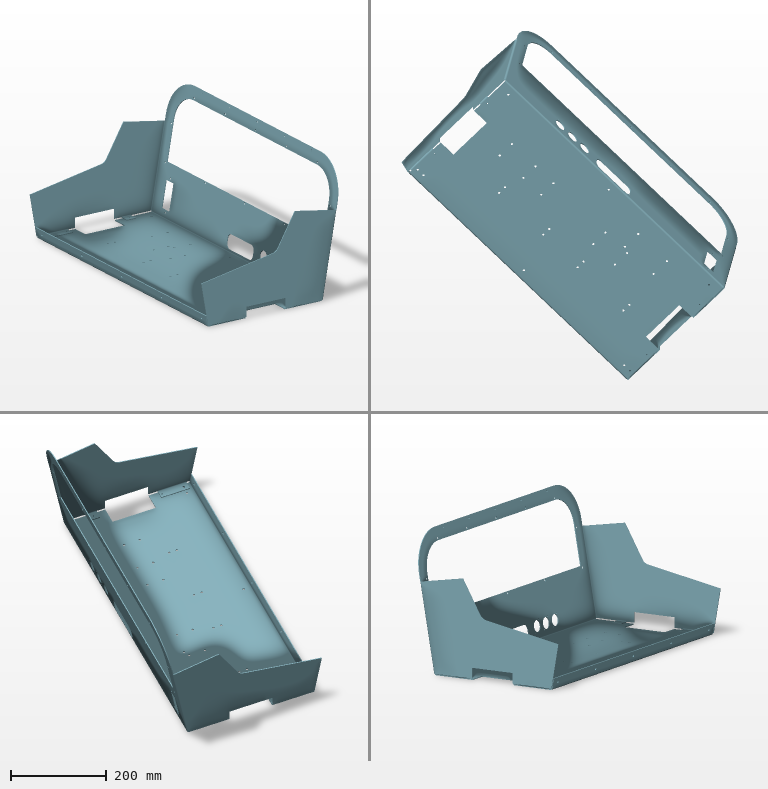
import cadquery as cq
import math

WIDTH = 650.0
DEPTH = 356.0
HEIGHT = 296.0

SHEET = 2.0
BEND_INSIDE = 2.0
BEND_OUTSIDE = BEND_INSIDE + SHEET
LEAN = math.radians(10)
SIN = math.sin(LEAN)
COS = math.cos(LEAN)
HALF_INSIDE = WIDTH / 2 - SHEET
HALF_FLOOR = WIDTH / 2 - BEND_OUTSIDE

SIDE_REAR_LENGTH = 199.0
SIDE_TOP_LENGTH = 106.5
SIDE_TIP_HEIGHT = 100.0
SIDE_BOTTOM = BEND_OUTSIDE
SIDE_SLOPE = math.radians(60)
SIDE_CORNER_RADIUS = 20.0

BACK_LENGTH = (HEIGHT - SHEET * SIN) / COS
REAR_FOOT = DEPTH / 2 - BACK_LENGTH * SIN
FRONT_FOOT = -DEPTH / 2 + SIDE_TIP_HEIGHT * math.tan(LEAN)
LIP_LENGTH = 25.5

FRAME_RADIUS = 85.0
OPENING_HALF_WIDTH = 294.0
OPENING_BOTTOM = 119.0
OPENING_TOP = 270.5
OPENING_RADIUS = 60.0

SWITCH_X = -274.0
SWITCH_WIDTH = 28.0
SWITCH_BOTTOM = 19.5
SWITCH_TOP = 81.0
SWITCH_SCREW_GAP = 6.5
CONNECTOR_HEIGHT = 28.0
SLOT_X = 8.0
SLOT_TOP = 39.5
SLOT_LENGTH = 99.0
SLOT_WIDTH = 33.0
SLOT_CORNER_RADIUS = 12.5
JACK_XS = (93.5, 129.5, 165.0)
JACK_DIAMETER = 25.5
JACK_SCREW_X = 10.0
JACK_SCREW_HEIGHT = 12.5

HAND_REAR = 32.5
HAND_FRONT = -66.0
HAND_INNER_X = 283.5
HAND_HEIGHT = 26.5

TAB_INNER_X = 304.0
REAR_TAB = (51.5, 74.0)
LEFT_FRONT_TAB = (-153.0, -83.0)
RIGHT_FRONT_TAB = (-153.0, -88.0)
TAB_HOLE_X = 313.0
TAB_SMALL_HOLE_YS = (63.0, -93.0)
TAB_SCREW_HOLE_Y = -142.5

SMALL_HOLE = 3.2
SCREW_HOLE = 4.8
LIP_HOLE = 5.1
RIM_HOLE_XS = (-207.5, -104.0, 0, 104.0, 207.5)
RIM_HOLE_HEIGHT = 293.0
FRAME_TOP_HOLE_XS = (-233.0, -116.5, 0, 116.5, 233.0)
FRAME_TOP_HOLE_HEIGHT = 275.0
FRAME_SIDE_HOLE_X = 300.0
FRAME_SIDE_HOLE_HEIGHT = 200.0
SILL_HOLE_HEIGHT = 115.0
LIP_HOLE_PITCH = 151.0
LIP_HOLE_HEIGHT = 14.0
CORNER_HOLE_XS = (-296.0, 0, 296.0)
CORNER_HOLE_YS = (108.0, -142.5)
FLOOR_HOLE_GRIDS = (
    (CORNER_HOLE_XS, CORNER_HOLE_YS),
    ((-197.0, -112.5), (82.5, 43.0)),
    ((-125.5, -62.0), (36.5, 0.5)),
    ((92.0, 144.5, 214.0), (36.5, 0.5)),
    ((-209.5, -75.0, 26.5, 157.0), (-41.0, -58.5)),
)


def rear_point(length, inset=0.0):
    """(Y, Z) at a length up the back, an inset in front of its outer face."""
    return (REAR_FOOT + length * SIN - inset * COS, length * COS + inset * SIN)


def front_point(length, inset=0.0):
    """(Y, Z) at a length up the front edge, an inset behind its outer face."""
    return (FRONT_FOOT - length * SIN + inset * COS, length * COS + inset * SIN)


def rear_at_height(z, inset=0.0):
    return (REAR_FOOT + z * math.tan(LEAN) - inset / COS, z)


def front_at_height(z, inset=0.0):
    return (FRONT_FOOT - z * math.tan(LEAN) + inset / COS, z)


def prism(points, half_width):
    """Extrude a (Y, Z) outline symmetrically across the width."""
    return cq.Workplane("YZ").polyline(points).close().extrude(half_width, both=True)


def grid(xs, ys):
    return [(x, y) for x in xs for y in ys]


BACK_PLANE = cq.Plane(origin=(0, REAR_FOOT, 0), xDir=(1, 0, 0), normal=(0, -COS, SIN))
LIP_PLANE = cq.Plane(origin=(0, FRONT_FOOT, 0), xDir=(1, 0, 0), normal=(0, -COS, -SIN))
BACK_DIRECTION = cq.selectors.ParallelDirSelector(BACK_PLANE.zDir)
UP_THE_BACK = cq.selectors.ParallelDirSelector(BACK_PLANE.yDir)


def back_cutter(sketch):
    """Extrude closed outlines drawn on the back's outer face right through the sheet."""
    return sketch.extrude(2 * SHEET, both=True)


def bent_sheet():
    """Front lip, floor and back as one sheet with two bends across the width."""
    outline = [
        front_point(LIP_LENGTH),
        (FRONT_FOOT, 0),
        (REAR_FOOT, 0),
        rear_point(BACK_LENGTH),
        rear_point(BACK_LENGTH, SHEET),
        rear_at_height(SHEET, SHEET),
        front_at_height(SHEET, SHEET),
        front_point(LIP_LENGTH, SHEET),
    ]
    sheet = prism(outline, HALF_INSIDE)
    sheet = sheet.edges("|X").edges(">>Z[1]").fillet(BEND_INSIDE)
    sheet = sheet.edges("|X").edges("<Z").fillet(BEND_OUTSIDE)
    sheet = sheet.edges(BACK_DIRECTION).edges(">Z").fillet(FRAME_RADIUS)
    relief = [
        (-DEPTH, -SHEET),
        (DEPTH, -SHEET),
        rear_point(SIDE_REAR_LENGTH, -SHEET),
        rear_point(SIDE_REAR_LENGTH, 2 * SHEET),
        (-DEPTH, HEIGHT / 2),
    ]
    return sheet.cut(prism(relief, WIDTH / 2).cut(prism(relief, HALF_FLOOR)))


def side_outline():
    """Outline of a side panel and the inner corner of its front edge."""
    tip = front_at_height(SIDE_TIP_HEIGHT)
    top = rear_point(SIDE_REAR_LENGTH, SIDE_TOP_LENGTH)
    rise = math.tan(LEAN)
    drop = math.tan(SIDE_SLOPE)
    bend_y = (tip[1] - rise * tip[0] - top[1] + drop * top[0]) / (drop - rise)
    bend = (bend_y, tip[1] + rise * (bend_y - tip[0]))
    return [
        rear_at_height(SIDE_BOTTOM),
        rear_point(SIDE_REAR_LENGTH),
        top,
        bend,
        tip,
        front_at_height(SIDE_BOTTOM),
    ], bend


def sides():
    """Both side panels with the bends that turn into the back."""
    outline, bend = side_outline()
    shell = prism(outline, WIDTH / 2)
    shell = shell.edges(UP_THE_BACK).edges(">Y").fillet(BEND_OUTSIDE)
    nearest_bend = cq.selectors.NearestToPointSelector((0, *bend))
    shell = shell.edges("|X").edges(nearest_bend).fillet(SIDE_CORNER_RADIUS)
    hollow = [
        rear_at_height(-HEIGHT, SHEET),
        rear_at_height(HEIGHT, SHEET),
        (-DEPTH, HEIGHT),
        (-DEPTH, -HEIGHT),
    ]
    inside = prism(hollow, HALF_INSIDE)
    inside = inside.edges(UP_THE_BACK).edges(">Y").fillet(BEND_INSIDE)
    return shell.cut(inside)


def tab(side, span):
    """Tab bent inward from a side panel; side is -1 for left and 1 for right."""
    front, rear = span
    outer_x = WIDTH / 2
    bend_top = SIDE_BOTTOM + BEND_OUTSIDE
    profile = [
        (side * TAB_INNER_X, SHEET),
        (side * outer_x, SHEET),
        (side * outer_x, bend_top),
        (side * HALF_INSIDE, bend_top),
        (side * HALF_INSIDE, 2 * SHEET),
        (side * TAB_INNER_X, 2 * SHEET),
    ]
    piece = cq.Workplane("XZ", origin=(0, rear, 0)).polyline(profile).close().extrude(rear - front)
    middle = (front + rear) / 2
    for x, z, radius in (
        (HALF_INSIDE, 2 * SHEET, BEND_INSIDE),
        (outer_x, SHEET, BEND_OUTSIDE),
    ):
        corner = cq.selectors.NearestToPointSelector((side * x, middle, z))
        piece = piece.edges("|Y").edges(corner).fillet(radius)
    return piece


def frame_opening():
    middle = (OPENING_BOTTOM + OPENING_TOP) / 2
    sketch = cq.Workplane(BACK_PLANE).center(0, middle)
    cutter = back_cutter(sketch.rect(2 * OPENING_HALF_WIDTH, OPENING_TOP - OPENING_BOTTOM))
    return cutter.edges(BACK_DIRECTION).edges(">Z").fillet(OPENING_RADIUS)


def switch_opening():
    middle = (SWITCH_BOTTOM + SWITCH_TOP) / 2
    height = SWITCH_TOP - SWITCH_BOTTOM
    sketch = cq.Workplane(BACK_PLANE).center(SWITCH_X, middle)
    window = back_cutter(sketch.rect(SWITCH_WIDTH, height))
    screw_offset = height / 2 + SWITCH_SCREW_GAP
    screws = sketch.pushPoints([(0, -screw_offset), (0, screw_offset)]).circle(SCREW_HOLE / 2)
    return window.union(back_cutter(screws))


def connector_openings():
    """Long rounded slot and three round jack holes, each jack with two screws on a diagonal."""
    sketch = cq.Workplane(BACK_PLANE).center(0, CONNECTOR_HEIGHT)
    slot_middle = (SLOT_X, SLOT_TOP - CONNECTOR_HEIGHT - SLOT_WIDTH / 2)
    slot = back_cutter(sketch.pushPoints([slot_middle]).rect(SLOT_LENGTH, SLOT_WIDTH))
    cutter = slot.edges(BACK_DIRECTION).fillet(SLOT_CORNER_RADIUS)
    jacks = [(x, 0) for x in JACK_XS]
    cutter = cutter.union(back_cutter(sketch.pushPoints(jacks).circle(JACK_DIAMETER / 2)))
    screws = [
        (x + end * JACK_SCREW_X, end * JACK_SCREW_HEIGHT) for x in JACK_XS for end in (-1, 1)
    ]
    return cutter.union(back_cutter(sketch.pushPoints(screws).circle(SMALL_HOLE / 2)))


def frame_holes():
    sketch = cq.Workplane(BACK_PLANE)
    rim = grid(RIM_HOLE_XS, [RIM_HOLE_HEIGHT])
    sill_xs = [step * FRAME_SIDE_HOLE_X / 2 for step in range(-2, 3)]
    around = (
        grid(FRAME_TOP_HOLE_XS, [FRAME_TOP_HOLE_HEIGHT])
        + grid((-FRAME_SIDE_HOLE_X, FRAME_SIDE_HOLE_X), [FRAME_SIDE_HOLE_HEIGHT])
        + grid(sill_xs, [SILL_HOLE_HEIGHT])
    )
    cutter = back_cutter(sketch.pushPoints(rim).circle(SMALL_HOLE / 2))
    return cutter.union(back_cutter(sketch.pushPoints(around).circle(SCREW_HOLE / 2)))


def lip_holes():
    places = [(step * LIP_HOLE_PITCH, LIP_HOLE_HEIGHT) for step in range(-2, 3)]
    sketch = cq.Workplane(LIP_PLANE).pushPoints(places)
    return sketch.circle(LIP_HOLE / 2).extrude(2 * SHEET, both=True)


def floor_holes():
    tab_xs = (-TAB_HOLE_X, TAB_HOLE_X)
    small_places = grid(tab_xs, TAB_SMALL_HOLE_YS)
    places = grid(tab_xs, [TAB_SCREW_HOLE_Y])
    for xs, ys in FLOOR_HOLE_GRIDS:
        places += grid(xs, ys)
    sketch = cq.Workplane("XY")
    cutter = sketch.pushPoints(places).circle(SCREW_HOLE / 2).extrude(3 * SHEET)
    return cutter.union(sketch.pushPoints(small_places).circle(SMALL_HOLE / 2).extrude(3 * SHEET))


def hand_opening(side):
    length = HAND_REAR - HAND_FRONT
    span = WIDTH / 2 - HAND_INNER_X
    place = (side * (HAND_INNER_X + span / 2), (HAND_REAR + HAND_FRONT) / 2, 0)
    return cq.Workplane("XY").box(span, length, 2 * HAND_HEIGHT).translate(place)


result = bent_sheet().union(sides())
for tab_side, front_tab in ((-1, LEFT_FRONT_TAB), (1, RIGHT_FRONT_TAB)):
    result = result.union(tab(tab_side, REAR_TAB))
    result = result.union(tab(tab_side, front_tab))
    result = result.cut(hand_opening(tab_side))
for cutter in (
    frame_opening(),
    switch_opening(),
    connector_openings(),
    frame_holes(),
    lip_holes(),
    floor_holes(),
):
    result = result.cut(cutter)